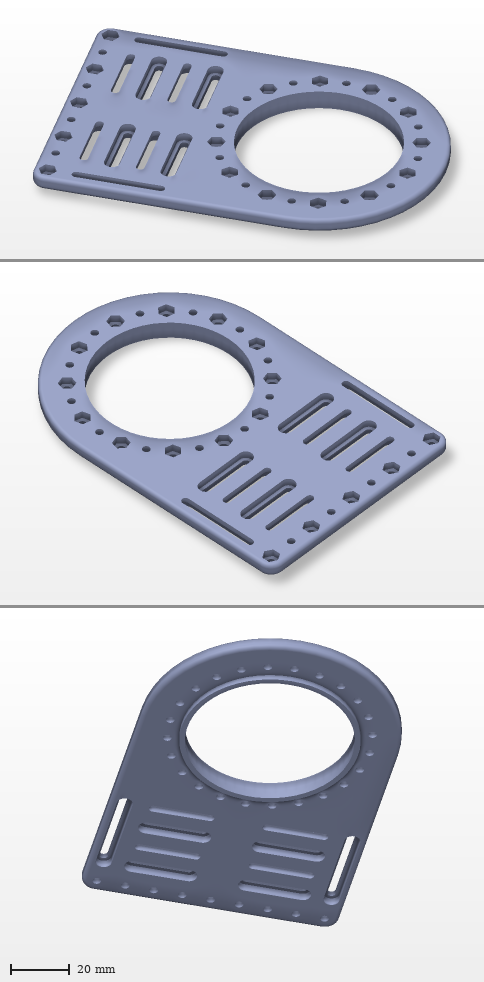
import cadquery as cq
import math

length = 135.0
width = 90.0
thickness = 5.0
edge_fillet = 1.5
end_radius = width / 2
plate_left = end_radius - length

row_count = 9
pitch = width / row_count
corner_radius = pitch / 2
edge_row_x = plate_left + pitch / 2

bore_diameter = 58.0
collar_diameter = 62.0
collar_height = 2.0

screw_diameter = 3.0
nut_flats = 5.5
nut_corners = nut_flats / math.cos(math.pi / 6)
recess_depth = 3.0

ring_diameter = 70.0
ring_step = 30

slot_straight = 2 * pitch
long_slot_straight = 3 * pitch
slot_offset_y = 2 * pitch
long_slot_offset_y = 4 * pitch
slot_columns = 4


def top_plane():
    return cq.Workplane("XY").workplane(offset=thickness)


def make_plate():
    plate = (
        cq.Workplane("XY")
        .moveTo(plate_left, -end_radius)
        .lineTo(0, -end_radius)
        .threePointArc((end_radius, 0), (0, end_radius))
        .lineTo(plate_left, end_radius)
        .close()
        .extrude(thickness)
        .edges("|Z and <X")
        .fillet(corner_radius)
    )
    return plate.faces("<Z or >Z").edges().fillet(edge_fillet)


def make_collar():
    return cq.Workplane("XY").circle(collar_diameter / 2).extrude(-collar_height)


def cut_bore(body):
    return body.cut(top_plane().circle(bore_diameter / 2).extrude(-thickness - collar_height))


def cut_screw_hole(body, x, y):
    return body.cut(top_plane().center(x, y).circle(screw_diameter / 2).extrude(-thickness))


def cut_nut_pocket(body, x, y, angle):
    """Hexagonal pocket in the top face, with one corner pointing along the angle."""
    pocket = cq.Workplane("XY").polygon(6, nut_corners).extrude(-recess_depth)
    pocket = pocket.rotate((0, 0, 0), (0, 0, 1), angle).translate((x, y, thickness))
    return body.cut(pocket)


def cut_slot(body, x, y, straight_length, angle, recess_on_top):
    """Through slot with a wider recess around it in the top or the bottom face."""
    slot_length = straight_length + screw_diameter
    recess_length = straight_length + nut_flats
    recess_base = thickness - recess_depth if recess_on_top else 0
    slot = cq.Workplane("XY").slot2D(slot_length, screw_diameter, angle).extrude(thickness)
    recess = cq.Workplane("XY").slot2D(recess_length, nut_flats, angle).extrude(recess_depth)
    body = body.cut(slot.translate((x, y, 0)))
    return body.cut(recess.translate((x, y, recess_base)))


def cut_edge_row(body):
    """Screw holes along the straight end, every other one with a nut pocket."""
    for row in range(row_count):
        y = (row - (row_count - 1) / 2) * pitch
        body = cut_screw_hole(body, edge_row_x, y)
        if row % 2 == 0:
            body = cut_nut_pocket(body, edge_row_x, y, 0)
    return body


def cut_hole_ring(body):
    """Plain holes around the bore, with nut-pocket holes midway between them."""
    for angle in range(0, 360, ring_step // 2):
        x = ring_diameter / 2 * math.cos(math.radians(angle))
        y = ring_diameter / 2 * math.sin(math.radians(angle))
        body = cut_screw_hole(body, x, y)
        if angle % ring_step != 0:
            body = cut_nut_pocket(body, x, y, angle)
    return body


def cut_slots(body):
    """Mirrored rows of slots along Y, each row with one longer slot along X outside it."""
    long_slot_x = edge_row_x + (slot_columns + 1) / 2 * pitch
    for side in (-1, 1):
        for column in range(slot_columns):
            x = edge_row_x + (column + 1) * pitch
            body = cut_slot(body, x, side * slot_offset_y, slot_straight, 90, column % 2 == 1)
        body = cut_slot(body, long_slot_x, side * long_slot_offset_y, long_slot_straight, 0, False)
    return body


result = make_plate().union(make_collar())
result = cut_bore(result)
result = cut_edge_row(result)
result = cut_hole_ring(result)
result = cut_slots(result)